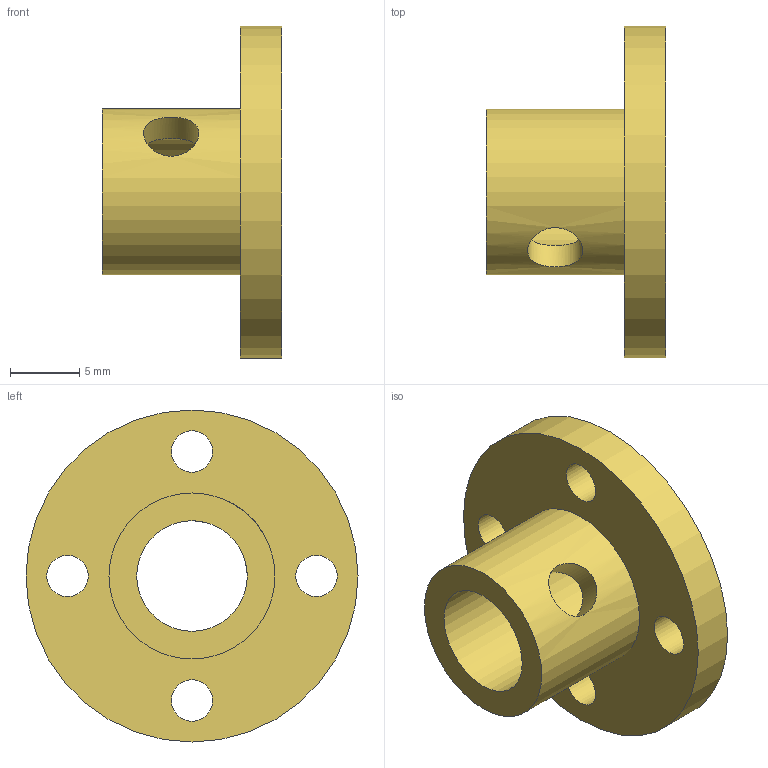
import cadquery as cq

flange_diameter = 24.0
flange_thickness = 3.0

hub_diameter = 12.0
hub_length = 10.0
bore_diameter = 8.0

mount_hole_count = 4
mount_hole_diameter = 3.0
mount_circle_radius = (flange_diameter + hub_diameter) / 4

screw_hole_diameter = 4.0
screw_hole_angle = 45.0
screw_hole_x = hub_length / 2

total_length = hub_length + flange_thickness


def x_cylinder(diameter, start_x, length):
    """Cylinder on the X axis, running toward +X from start_x."""
    return cq.Workplane("YZ").workplane(offset=start_x).circle(diameter / 2).extrude(length)


def mount_holes():
    """Cutters for the ring of holes in the flange."""
    return (
        cq.Workplane("YZ")
        .workplane(offset=hub_length)
        .polarArray(mount_circle_radius, 0, 360, mount_hole_count)
        .circle(mount_hole_diameter / 2)
        .extrude(flange_thickness)
    )


def screw_hole():
    """Radial cutter from the hub axis out past the hub surface."""
    return (
        cq.Workplane("XY")
        .center(screw_hole_x, 0)
        .circle(screw_hole_diameter / 2)
        .extrude(hub_diameter)
        .rotate((0, 0, 0), (1, 0, 0), screw_hole_angle)
    )


hub = x_cylinder(hub_diameter, 0, hub_length)
flange = x_cylinder(flange_diameter, hub_length, flange_thickness)
bore = x_cylinder(bore_diameter, 0, total_length)

result = hub.union(flange).cut(bore).cut(mount_holes()).cut(screw_hole())